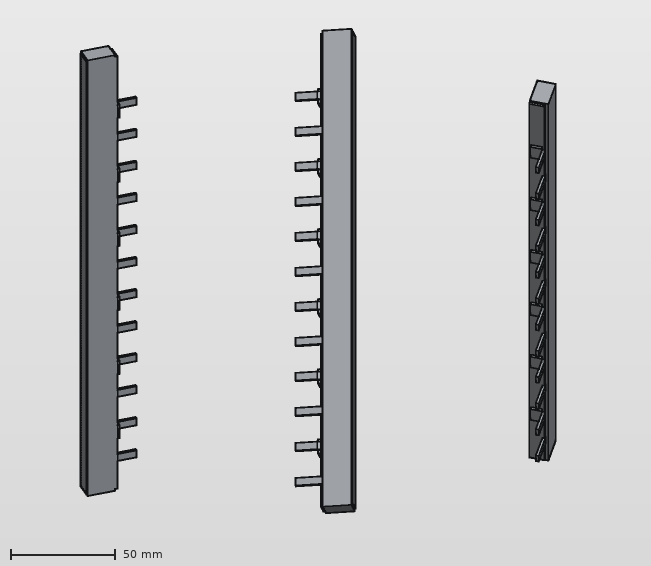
import cadquery as cq

rail_width = 9.2
rail_length = 242.0
panel_height = 0.5
panel_side_inset = 0.7
panel_end_inset = 1.0
front_y = 0.0
rail_front_y = front_y + panel_height
rail_back_y = 14.5
strip_left_x = -3.1
strip_height = 1.2
strip_slope = 0.36
strip_end_inset = 1.0
strip_back_y = rail_back_y + strip_height

pin_count = 12
first_pin_z = 14.0
last_pin_z = 209.8
pin_pitch = (last_pin_z - first_pin_z) / (pin_count - 1)
pin_tip_y = 27.8
pin_x = -2.7
pin_thickness = 1.5
pin_height = 3.9
pin_left_x = pin_x - pin_thickness / 2
pin_embed = 1.2
pin_root_y = rail_back_y - pin_embed
bend_offset = 0.5

pad_left_x = -2.0
pad_right_x = 3.6
pad_height = 7.3
pad_back_y = 17.2


def block(x_range, y_range, z_range):
    """Box that fills the given ranges along X, Y and Z."""
    sizes = [end - start for start, end in (x_range, y_range, z_range)]
    corner = (x_range[0], y_range[0], z_range[0])
    return cq.Workplane("XY").box(*sizes, centered=False).translate(corner)


def profile(points, z_range):
    """Outline in the XY plane, extruded over the given range along Z."""
    bottom, top = z_range
    return cq.Workplane("XY").workplane(offset=bottom).polyline(points).close().extrude(top - bottom)


def around(center, height):
    """Range of the given height, centred on a level."""
    return (center - height / 2, center + height / 2)


def rail():
    side_x = rail_width / 2
    bar = block((-side_x, side_x), (rail_front_y, rail_back_y), (0, rail_length))
    panel = block(
        (-side_x + panel_side_inset, side_x - panel_side_inset),
        (front_y, rail_front_y),
        (panel_end_inset, rail_length - panel_end_inset),
    )
    strip_outline = [
        (strip_left_x, rail_back_y),
        (side_x, rail_back_y),
        (side_x, strip_back_y),
        (strip_left_x + strip_slope, strip_back_y),
    ]
    strip = profile(strip_outline, (strip_end_inset, rail_length - strip_end_inset))
    return bar.union(panel).union(strip)


def straight_pin(z):
    x_range = (pin_left_x, pin_left_x + pin_thickness)
    return block(x_range, (pin_root_y, pin_tip_y), around(z, pin_height))


def bent_pin(z):
    """Pin that steps towards +X between the back of its pad and the strip, with the pad."""
    left_side = [
        (pin_left_x, pin_tip_y),
        (pin_left_x, pad_back_y),
        (pin_left_x + bend_offset, strip_back_y),
        (pin_left_x + bend_offset, pin_root_y),
    ]
    right_side = [(x + pin_thickness, y) for x, y in reversed(left_side)]
    pin = profile(left_side + right_side, around(z, pin_height))
    pad = block((pad_left_x, pad_right_x), (rail_back_y, pad_back_y), around(z, pad_height))
    return pin.union(pad)


result = rail()
for index in range(pin_count):
    pin_z = first_pin_z + index * pin_pitch
    make_pin = bent_pin if index % 2 else straight_pin
    result = result.union(make_pin(pin_z))